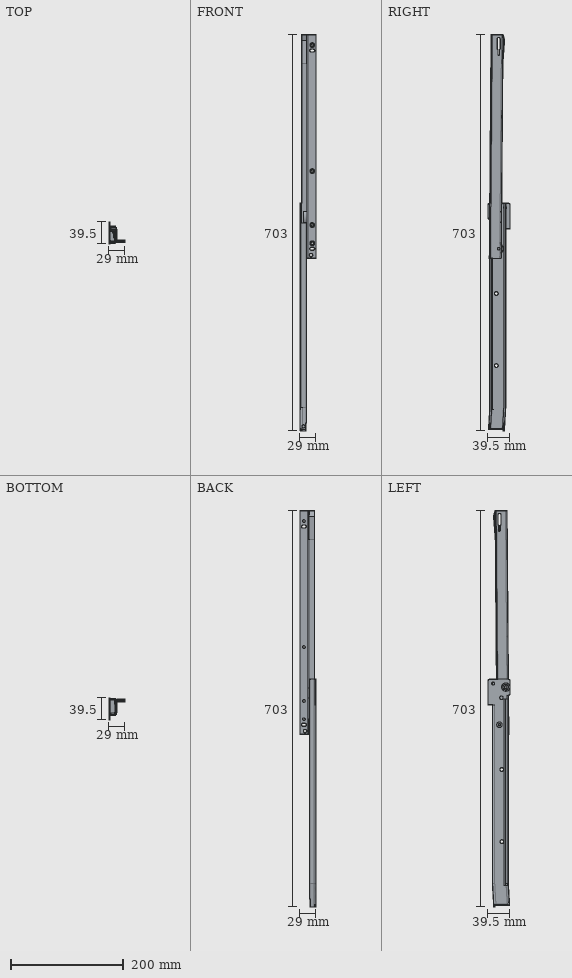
import cadquery as cq


SHEET = 2.0
BEND = 3.0
INNER_BEND = BEND - SHEET

CABINET_DEPTH = 12.0
WIDE_BEND = 4.0
CABINET_LOW_Y = 3.2
CABINET_HIGH_Y = 32.0
LIP_HEIGHT = 3.5
STEP_DEPTH = 1.0
STEP_START_Y = 10.5
STEP_FULL_Y = 8.5
STEP_BOTTOM_Z = 38.0
FLAG_WIDTH = 39.5
FLAG_TOP_Z = 404.5
FLAG_LOW_SIDE_Z = 375.5
FLAG_HIGH_SIDE_Z = 359.0
FLAG_CORNER = 3.5
LOW_WALL_TOP_Z = 369.0

END_TOP_Z = 42.0
END_LEAN = 2.45
END_NARROW_Z = 14.0
END_NARROW_DEPTH = 10.5
END_CAP_Z = 3.0
TAIL_WIDTH = 2.0
END_HOLE_DIAMETER = 5.5
END_HOLE_X = 6.0
END_HOLE_Z = 8.5

WEB_HOLE_DIAMETER = 6.0
WEB_HOLE_Y = 15.0
WEB_HOLES_Z = (116.0, 244.0)
GAUGE_HOLE_DIAMETER = 6.0
GAUGE_HOLE_Y = 15.5
GAUGE_HOLE_Z = 371.5
FLAG_PIN_HOLE_DIAMETER = 5.0
FLAG_PIN_HOLE_Y = 30.0
FLAG_PIN_HOLE_Z = 397.0
FLAG_SCREW_Y = 8.0
FLAG_SCREW_Z = 390.0
FLAG_SCREW_DIAMETER = 5.0
FLAG_SCREW_SINK = 15.0
FLAG_SCREW_FLOOR = 10.0

DRAWER_BOTTOM_Z = 307.0
DRAWER_TOP_Z = 703.0
DRAWER_LEAN = 3.2
DRAWER_LOW_Y = 2.25
HIGH_WALL_GAP = 6.0
DRAWER_HIGH_Y = CABINET_HIGH_Y - SHEET - HIGH_WALL_GAP
WEB_GAP = 0.5
DRAWER_WEB_X = CABINET_DEPTH + WEB_GAP
FLANGE_X = 29.0
LIP_X = 3.0

DETENT_RISE = 3.0
DETENT_PEAK_Z = 693.5
DETENT_BOTTOM_Z = 652.0

BUMP_X = 6.0
BUMP_BOTTOM_Z = 370.0
BUMP_TOP_Z = 389.5
BUMP_HEIGHT = 2.45

KEYHOLE_Y = 19.0
KEYHOLE_WIDTH = 5.0
KEYHOLE_BOTTOM_Z = 676.5
KEYHOLE_TOP_Z = 698.5
KEYHOLE_NECK_WIDTH = 2.0
KEYHOLE_NECK_Z = 667.0

SCREW_X = 22.0
SCREWS_Z = (333.5, 366.0, 461.5, 685.0)
SCREW_DIAMETER = 4.0
SCREW_SINK = 8.5
SLOTS_Z = (323.5, 675.0)
SLOT_LENGTH = 8.5
SLOT_HEIGHT = 5.0
PEG_HOLE_X = 20.0
PEG_HOLE_Z = 312.0
PEG_HOLE_DIAMETER = 5.5

ROLLER_Y = 19.0
ROLLER_Z = 323.5
ROLLER_RADIUS = 8.5
ROLLER_NEAR_X = 8.5
ROLLER_FAR_X = 11.0
ROLLER_EDGE = 1.0
AXLE_DIAMETER = 4.0
ROLLER_VIEW_HOLE = 10.0
ROLLER_CLEARANCE = 2.0
LIP_BOTTOM_Z = ROLLER_Z + ROLLER_RADIUS + ROLLER_CLEARANCE

OVERLAP = 1.0
LEAN_RATE = DRAWER_LEAN / (DRAWER_TOP_Z - DRAWER_BOTTOM_Z)


def block(x0, x1, y0, y1, z0, z1):
    return cq.Workplane("XY").box(x1 - x0, y1 - y0, z1 - z0, centered=False).translate((x0, y0, z0))


def slanted_prism(section, y_shift, z_travel):
    """Sweep a closed XY section straight along a direction that drifts in Y."""
    path = cq.Vector(0, y_shift, z_travel)
    return cq.Workplane(obj=cq.Solid.extrudeLinear(section.val(), [], path))


def bore_x(diameter, y, z, x0, x1):
    """Cylinder along X, from x0 to x1."""
    return cq.Workplane("YZ", origin=(x0, y, z)).circle(diameter / 2).extrude(x1 - x0)


def sink_x(wide, narrow, y, z, depth):
    """Cone along X, wide at X = 0."""
    cone = cq.Solid.makeCone(wide / 2, narrow / 2, depth, cq.Vector(0, y, z), cq.Vector(1, 0, 0))
    return cq.Workplane(obj=cone)



def channel_section(z, low_bend):
    """C section at height z; its outer bend radius on the low side is low_bend."""
    low, high = CABINET_LOW_Y, CABINET_HIGH_Y
    edge = CABINET_DEPTH
    lip = edge - SHEET
    high_bend = WIDE_BEND
    return (
        cq.Workplane("XY", origin=(0, 0, z))
        .moveTo(edge, low + LIP_HEIGHT)
        .lineTo(edge, low + INNER_BEND)
        .radiusArc((edge - INNER_BEND, low), INNER_BEND)
        .lineTo(low_bend, low)
        .radiusArc((0, low + low_bend), low_bend)
        .lineTo(0, high - high_bend)
        .radiusArc((high_bend, high), high_bend)
        .lineTo(edge - INNER_BEND, high)
        .radiusArc((edge, high - INNER_BEND), INNER_BEND)
        .lineTo(edge, high - LIP_HEIGHT)
        .lineTo(lip, high - LIP_HEIGHT)
        .lineTo(lip, high - SHEET)
        .lineTo(high_bend, high - SHEET)
        .radiusArc((SHEET, high - high_bend), SHEET - high_bend)
        .lineTo(SHEET, low + low_bend)
        .radiusArc((low_bend, low + SHEET), SHEET - low_bend)
        .lineTo(lip, low + SHEET)
        .lineTo(lip, low + LIP_HEIGHT)
        .close()
        .wire()
    )


def flag_plate():
    """Flat plate at the top of the channel, wider than the channel on both sides."""
    low_inset = CABINET_LOW_Y + BEND
    plate = (
        cq.Workplane("YZ")
        .moveTo(0, FLAG_LOW_SIDE_Z)
        .lineTo(0, FLAG_TOP_Z)
        .lineTo(FLAG_WIDTH, FLAG_TOP_Z)
        .lineTo(FLAG_WIDTH, FLAG_HIGH_SIDE_Z)
        .lineTo(low_inset, FLAG_HIGH_SIDE_Z)
        .lineTo(low_inset, FLAG_LOW_SIDE_Z)
        .close()
        .extrude(SHEET)
    )
    plate = plate.edges("|X and <Y").fillet(FLAG_CORNER)
    return plate.faces(">Z").edges(">Y").fillet(FLAG_CORNER)


def leaning_end():
    """Bottom end of the channel with a closing cap and shallower walls."""
    shift = -END_LEAN
    end = slanted_prism(channel_section(END_TOP_Z, WIDE_BEND), shift, -END_TOP_Z)
    low = CABINET_LOW_Y + shift
    high = CABINET_HIGH_Y + shift
    cap_top = END_CAP_Z + SHEET
    cap = block(SHEET - OVERLAP, END_NARROW_DEPTH, low + BEND, high - SHEET, END_CAP_Z, cap_top)
    shallow = block(END_NARROW_DEPTH, CABINET_DEPTH, low - 7, high + 7, 0, END_NARROW_Z)
    below_cap = block(0, CABINET_DEPTH, low - 7, high - TAIL_WIDTH, 0, END_CAP_Z)
    hole = (
        cq.Workplane("XZ", origin=(END_HOLE_X, low + 7, END_HOLE_Z))
        .circle(END_HOLE_DIAMETER / 2)
        .extrude(14)
    )
    centre = END_CAP_Z + BEND
    corner = block(0, BEND, low - 7, high - TAIL_WIDTH, END_CAP_Z, centre)
    round_edge = (
        cq.Workplane("XZ", origin=(BEND, high, centre))
        .circle(BEND)
        .extrude(high - low + 7)
    )
    return end.union(cap).cut(shallow).cut(below_cap).cut(corner.cut(round_edge)).cut(hole)


def web_step():
    """Cutter for the shallow ramped step in the back of the web beside the low wall."""
    return (
        cq.Workplane("XY", origin=(0, 0, STEP_BOTTOM_Z))
        .moveTo(0, STEP_START_Y)
        .lineTo(STEP_DEPTH, STEP_FULL_Y)
        .lineTo(STEP_DEPTH, CABINET_LOW_Y)
        .lineTo(0, CABINET_LOW_Y)
        .close()
        .extrude(LOW_WALL_TOP_Z - STEP_BOTTOM_Z)
    )


def build_cabinet_rail():
    channel = slanted_prism(channel_section(END_TOP_Z, BEND), 0, FLAG_TOP_Z - END_TOP_Z)
    low_wall = block(
        -7, CABINET_DEPTH + 7, -7, CABINET_LOW_Y + LIP_HEIGHT + OVERLAP, LOW_WALL_TOP_Z, FLAG_TOP_Z + 7
    )
    rail = channel.cut(low_wall).union(flag_plate()).union(leaning_end()).cut(web_step())

    for z in WEB_HOLES_Z:
        rail = rail.cut(bore_x(WEB_HOLE_DIAMETER, WEB_HOLE_Y, z, 0, SHEET))
    rail = rail.cut(bore_x(ROLLER_VIEW_HOLE, ROLLER_Y, ROLLER_Z, 0, SHEET))
    rail = rail.cut(bore_x(GAUGE_HOLE_DIAMETER, GAUGE_HOLE_Y, GAUGE_HOLE_Z, 0, SHEET))
    rail = rail.cut(bore_x(FLAG_PIN_HOLE_DIAMETER, FLAG_PIN_HOLE_Y, FLAG_PIN_HOLE_Z, 0, SHEET))
    rail = rail.cut(bore_x(FLAG_SCREW_DIAMETER, FLAG_SCREW_Y, FLAG_SCREW_Z, 0, SHEET))
    return rail.cut(sink_x(FLAG_SCREW_SINK, FLAG_SCREW_FLOOR, FLAG_SCREW_Y, FLAG_SCREW_Z, SHEET / 2))



def drawer_section():
    """Z section: lip towards -X on the high side, flange towards +X on the low side."""
    low = DRAWER_LOW_Y
    high = DRAWER_HIGH_Y
    near = DRAWER_WEB_X
    far = DRAWER_WEB_X + SHEET
    return (
        cq.Workplane("XY", origin=(0, 0, DRAWER_BOTTOM_Z))
        .moveTo(LIP_X, high)
        .lineTo(far - BEND, high)
        .radiusArc((far, high - BEND), BEND)
        .lineTo(far, low + BEND)
        .radiusArc((near + BEND, low + SHEET), -INNER_BEND)
        .lineTo(FLANGE_X, low + SHEET)
        .lineTo(FLANGE_X, low)
        .lineTo(near + BEND, low)
        .radiusArc((near, low + BEND), BEND)
        .lineTo(near, high - BEND)
        .radiusArc((far - BEND, high - SHEET), -INNER_BEND)
        .lineTo(LIP_X, high - SHEET)
        .close()
        .wire()
    )


def lip_outside_y(z):
    """Y of the outer face of the straight lip at height z."""
    return DRAWER_HIGH_Y + LEAN_RATE * (z - DRAWER_BOTTOM_Z)


def detent():
    """Stretch of the lip that is bent outwards to a peak."""
    peak_y = lip_outside_y(DETENT_PEAK_Z) + DETENT_RISE
    outside = [
        (lip_outside_y(DETENT_BOTTOM_Z), DETENT_BOTTOM_Z),
        (peak_y, DETENT_PEAK_Z),
        (lip_outside_y(DRAWER_TOP_Z), DRAWER_TOP_Z),
    ]
    inside = [(y - SHEET, z) for y, z in reversed(outside)]
    return (
        cq.Workplane("YZ", origin=(LIP_X, 0, 0))
        .polyline(outside + inside)
        .close()
        .extrude(DRAWER_WEB_X - LIP_X + OVERLAP)
    )


def stop_bump():
    """Rounded bump that stands in from the lip towards -Y."""
    middle_z = (BUMP_BOTTOM_Z + BUMP_TOP_Z) / 2
    base_y = lip_outside_y(middle_z) - SHEET
    return (
        cq.Workplane("YZ", origin=(BUMP_X, 0, 0))
        .moveTo(base_y + OVERLAP, BUMP_BOTTOM_Z)
        .lineTo(base_y, BUMP_BOTTOM_Z)
        .threePointArc((base_y - BUMP_HEIGHT, middle_z), (base_y, BUMP_TOP_Z))
        .lineTo(base_y + OVERLAP, BUMP_TOP_Z)
        .close()
        .extrude(DRAWER_WEB_X - BUMP_X + OVERLAP)
    )


def upright_slot(width, y, z0, z1):
    """Round-ended cutter through the drawer rail web."""
    return (
        cq.Workplane("YZ", origin=(DRAWER_WEB_X - OVERLAP, y, (z0 + z1) / 2))
        .slot2D(z1 - z0, width, 90)
        .extrude(SHEET + 2 * OVERLAP)
    )


def flange_plane(x, z):
    """Plane looking along +Y, placed on the underside of the leaning flange."""
    y = DRAWER_LOW_Y + LEAN_RATE * (z - DRAWER_BOTTOM_Z)
    return cq.Workplane(cq.Plane(origin=(x, y, z), xDir=(1, 0, 0), normal=(0, -1, 0)))


def through_flange(outline):
    return outline.extrude(2 * SHEET, both=True)


def flange_screw_hole(z):
    """Hole with a countersink on the underside of the flange."""
    bore = through_flange(flange_plane(SCREW_X, z).circle(SCREW_DIAMETER / 2))
    sink_depth = SHEET / 2
    sink = (
        flange_plane(SCREW_X, z)
        .circle(SCREW_SINK / 2)
        .workplane(offset=-sink_depth)
        .circle(SCREW_DIAMETER / 2)
        .loft()
    )
    return bore.union(sink)


def build_drawer_rail():
    rail = slanted_prism(drawer_section(), DRAWER_LEAN, DRAWER_TOP_Z - DRAWER_BOTTOM_Z)
    lip_inside_y = lip_outside_y(DRAWER_BOTTOM_Z) - BEND
    straight_x = DRAWER_WEB_X - INNER_BEND
    straight_lip = block(0, straight_x, lip_inside_y, CABINET_HIGH_Y, DETENT_BOTTOM_Z, DRAWER_TOP_Z)
    roller_space = block(0, DRAWER_WEB_X, lip_inside_y, CABINET_HIGH_Y, DRAWER_BOTTOM_Z, LIP_BOTTOM_Z)
    rail = rail.cut(straight_lip).cut(roller_space).union(detent()).union(stop_bump())

    rail = rail.cut(upright_slot(KEYHOLE_WIDTH, KEYHOLE_Y, KEYHOLE_BOTTOM_Z, KEYHOLE_TOP_Z))
    rail = rail.cut(upright_slot(KEYHOLE_NECK_WIDTH, KEYHOLE_Y, KEYHOLE_NECK_Z, KEYHOLE_TOP_Z))
    for z in SCREWS_Z:
        rail = rail.cut(flange_screw_hole(z))
    for z in SLOTS_Z:
        rail = rail.cut(through_flange(flange_plane(SCREW_X, z).slot2D(SLOT_LENGTH, SLOT_HEIGHT)))
    rail = rail.cut(through_flange(flange_plane(PEG_HOLE_X, PEG_HOLE_Z).circle(PEG_HOLE_DIAMETER / 2)))
    axle_end = DRAWER_WEB_X + SHEET
    return rail.cut(bore_x(AXLE_DIAMETER, ROLLER_Y, ROLLER_Z, DRAWER_WEB_X, axle_end))



def build_roller():
    """Wheel with an axle stub that sits in the drawer rail web."""
    wheel = bore_x(2 * ROLLER_RADIUS, ROLLER_Y, ROLLER_Z, ROLLER_NEAR_X, ROLLER_FAR_X)
    wheel = wheel.edges().chamfer(ROLLER_EDGE)
    axle = bore_x(AXLE_DIAMETER, ROLLER_Y, ROLLER_Z, ROLLER_FAR_X, DRAWER_WEB_X + SHEET)
    centre_mark = bore_x(AXLE_DIAMETER, ROLLER_Y, ROLLER_Z, ROLLER_NEAR_X, ROLLER_NEAR_X + ROLLER_EDGE)
    return wheel.union(axle).cut(centre_mark)


cabinet_rail = build_cabinet_rail()
drawer_rail = build_drawer_rail()
roller = build_roller()

result = cq.Compound.makeCompound([cabinet_rail.val(), drawer_rail.val(), roller.val()])